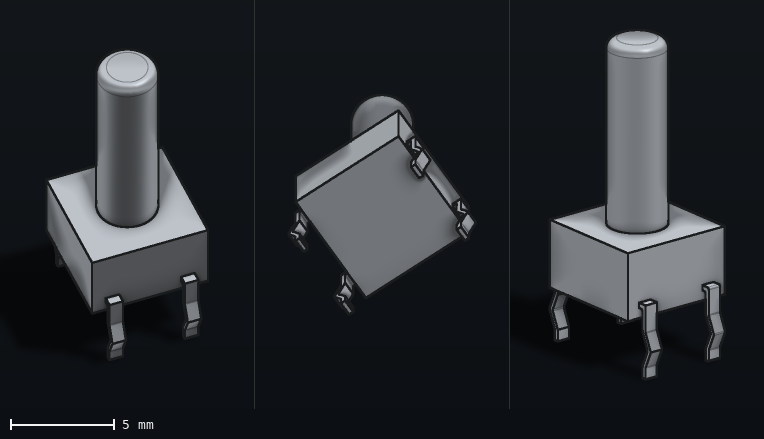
import cadquery as cq

HOUSING_SIDE = 6.0
HOUSING_HEIGHT = 3.5

BUTTON_DIAMETER = 3.0
BUTTON_LENGTH = 9.5
BUTTON_TOP_FILLET = 0.5

PIN_PITCH = 3.9
PIN_WIDTH = 0.7
LEG_THICKNESS = 0.25
ARM_THICKNESS = 0.27
PIN_SHOULDER_X = 3.5
PIN_KNEE_X = 3.9
PIN_TOP_Z = 0.8
PIN_BOTTOM_Z = -3.0
KNEE_Z = -1.5
KINK_HALF_HEIGHT = 0.9
PIN_FILLET = 0.1


def make_button():
    button = cq.Workplane("XY").workplane(offset=HOUSING_HEIGHT)
    button = button.circle(BUTTON_DIAMETER / 2).extrude(BUTTON_LENGTH)
    return button.faces(">Z").edges().fillet(BUTTON_TOP_FILLET)


def fillet_pin_edges(pin, corners):
    """Round the pin edges that run along Y through the given (x, z) corners."""
    reach = PIN_FILLET / 2
    for x, z in corners:
        box = cq.selectors.BoxSelector(
            (x - reach, -PIN_WIDTH, z - reach),
            (x + reach, PIN_WIDTH, z + reach),
        )
        pin = pin.edges("|Y").edges(box).fillet(PIN_FILLET)
    return pin


def make_pin(outer_edges_rounded):
    """Pin for the +X face, centred on Y = 0, with its inside bends rounded."""
    kink_top_z = KNEE_Z + KINK_HALF_HEIGHT
    kink_bottom_z = KNEE_Z - KINK_HALF_HEIGHT
    arm_bottom_z = PIN_TOP_Z - ARM_THICKNESS
    leg_inner_x = PIN_SHOULDER_X - LEG_THICKNESS
    outline = [
        (HOUSING_SIDE / 2, PIN_TOP_Z),
        (PIN_SHOULDER_X, PIN_TOP_Z),
        (PIN_SHOULDER_X, kink_top_z),
        (PIN_KNEE_X, KNEE_Z),
        (PIN_SHOULDER_X, kink_bottom_z),
        (PIN_SHOULDER_X, PIN_BOTTOM_Z),
        (leg_inner_x, PIN_BOTTOM_Z),
        (leg_inner_x, kink_bottom_z),
        (PIN_KNEE_X - LEG_THICKNESS, KNEE_Z),
        (leg_inner_x, kink_top_z),
        (leg_inner_x, arm_bottom_z),
        (HOUSING_SIDE / 2, arm_bottom_z),
    ]
    pin = cq.Workplane("XZ").polyline(outline).close().extrude(PIN_WIDTH / 2, both=True)
    inside_bends = [
        (leg_inner_x, arm_bottom_z),
        (PIN_SHOULDER_X, kink_top_z),
        (PIN_KNEE_X - LEG_THICKNESS, KNEE_Z),
        (PIN_SHOULDER_X, kink_bottom_z),
    ]
    pin = fillet_pin_edges(pin, inside_bends)
    if outer_edges_rounded:
        outer_corners = [
            (PIN_SHOULDER_X, PIN_TOP_Z),
            (PIN_KNEE_X, KNEE_Z),
            (PIN_SHOULDER_X, PIN_BOTTOM_Z),
        ]
        pin = fillet_pin_edges(pin, outer_corners)
    return pin


def make_housing():
    """Housing block with its four pins as one solid.

    Only the pin in the -X, -Y corner has rounded outer edges.
    """
    housing = cq.Workplane("XY").box(
        HOUSING_SIDE, HOUSING_SIDE, HOUSING_HEIGHT, centered=(True, True, False)
    )
    for x_side in (-1, 1):
        for y_side in (-1, 1):
            pin = make_pin(outer_edges_rounded=(x_side < 0 and y_side < 0))
            if x_side < 0:
                pin = pin.mirror("YZ")
            housing = housing.union(pin.translate((0, y_side * PIN_PITCH / 2, 0)))
    return housing


housing = make_housing()
button = make_button()

result = cq.Compound.makeCompound([housing.val(), button.val()])